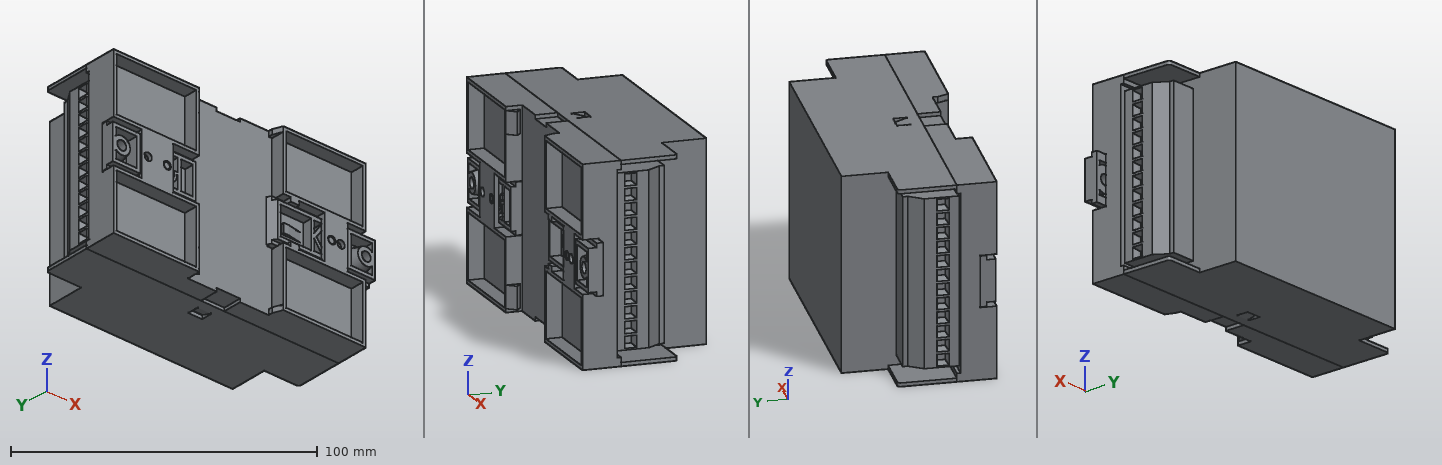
import cadquery as cq

HOUSING_HALF_WIDTH = 55.0
HOUSING_HALF_HEIGHT = 35.0
FRONT_Y = 48.6
PARTING_Y = 13.4
RAIL_SEAT_Y = 5.6
CAP_HALF_WIDTH = 39.9

SKIRT_TOP_Y = 33.0
SKIRT_THICKNESS = 1.4
SKIRT_CORNER_RADIUS = 1.0
WINDOW_HALF_WIDTH = 3.0
WINDOW_LOW_Y = 17.4
WINDOW_HIGH_Y = 22.0
WINDOW_DEPTH = 1.7
LATCH_GAP = 0.3
LATCH_DROP = 1.3

LEFT_FOOT_INNER_X = -17.6
RIGHT_FOOT_INNER_X = 19.0
FOOT_RIM = 1.4
CHANNEL_HALF_HEIGHT = 9.3
LEFT_BRIDGE = (-42.6, -28.9)
RIGHT_BRIDGE = (36.9, 47.0)
BRIDGE_THICKNESS = 1.7
SIDE_NOTCH_WIDTH = 10.2
SIDE_NOTCH_DEPTH = 1.4

HOOK_TIP_X = -15.1
HOOK_TIP_Y = 3.0
HOOK_ROOT_X = -17.0
HOOK_ROOT_Y = 4.8
HOOK_HIGH_Z = HOUSING_HALF_HEIGHT - FOOT_RIM
HOOK_LOW_Z = 25.6

GUIDE_X = 17.5
GUIDE_SLOPE_Y = 3.9
GUIDE_LENGTH = 2.2

LIP_X = (22.3, 26.0)

TOOTH_X = (23.2, 25.4, 31.2)
TOOTH_HEIGHT = 1.0
TOOTH_HALF_HEIGHT = 2.0

TERMINAL_SEAT_Y = 12.1
TERMINAL_SEAT_HALF_HEIGHT = 31.9
TERMINAL_HALF_HEIGHT = 30.2
TERMINAL_FRONT_Y = 30.3
TERMINAL_SLOPE_Y = (23.8, 28.6)
TERMINAL_OUTER_X = 52.9
TERMINAL_STEP_X = 49.7
WIRE_COUNT = 12
WIRE_ROW_LENGTH = 55.1
WIRE_PITCH = WIRE_ROW_LENGTH / (WIRE_COUNT - 1)
WIRE_Y = 17.5
WIRE_MOUTH = 4.1
WIRE_BORE = 2.9
WIRE_FUNNEL_DEPTH = 2.3
WIRE_BORE_DEPTH = 3.4

CLIP_HALF_HEIGHT = 9.0
CLIP_FLANGE_Y = 3.3
CLIP_PAD_HALF_HEIGHT = 7.5
CLIP_PAD_Y = BRIDGE_THICKNESS
CLIP_WINDOW_HALF_HEIGHT = 6.1
GRIP_Y = 0.3
GRIP_LENGTH = 11.9
GRIP_WALL = 1.4
GRIP_POCKET_LENGTH = 9.0
EYE_INSET = 3.9
EYE_HOLE_RADIUS = 2.0
EYE_RIM_RADIUS = 3.7
EYE_ROOT_RADIUS = 5.0
DETENT_HOLE_RADIUS = 1.6
DETENT_PIN_RADIUS = 1.3
DETENT_PIN_Y = 0.2

LEFT_CLIP_INNER_X = -17.6
LEFT_LOCK_X = -31.5
LEFT_SPARE_X = -39.9
LEFT_WINDOW = (-24.0, -18.9)
LEFT_SPRING_WINDOW = (-30.0, -25.6)
LEFT_STOP_X = -27.7
LEFT_STOP_HALF_HEIGHT = 2.0
LEFT_STOP_LOW_Y = 3.0
LEFT_SPRING_ROOT_Z = 0.6
LEFT_SPRING_WIDTH = 1.1
LEFT_SPRING_BEND = (-29.1, -1.3)
LEFT_SPRING_BEND_RADIUS = 2.1

RIGHT_CLIP_OUTER_X = 59.3
RIGHT_LOCK_X = 40.1
RIGHT_SPARE_X = 44.1
RIGHT_WINDOW = (19.3, 32.7)
RIGHT_SPRING_WINDOW = (34.0, 38.2)
RIGHT_SPRING_HALF_HEIGHT = 5.8
LEG_ROOT_HALF_HEIGHT = 1.0
LEG_FORK_X = 35.0
LEG_OUTER_END_X = 37.3
LEG_INNER_END_Z = 4.5
NOSE_TIP_X = 15.9
NOSE_TIP_Y = 4.9
NOSE_TOP_X = 18.1
NOSE_ROOT_X = 17.0


def box(x_range, y_range, z_range):
    """Axis-aligned block between the given limits."""
    x0, x1 = x_range
    y0, y1 = y_range
    z0, z1 = z_range
    return cq.Workplane("XY").box(x1 - x0, y1 - y0, z1 - z0, centered=False).translate((x0, y0, z0))


def plate(x_range, y_range, half_height):
    """Block that is symmetric about Z = 0."""
    return box(x_range, y_range, (-half_height, half_height))


def prism(points, z_range):
    """XY outline extruded between two heights."""
    z0, z1 = z_range
    return cq.Workplane("XY").polyline(points).close().extrude(z1 - z0).translate((0, 0, z0))


def wall_prism(points, y_range):
    """XZ outline extruded from y_range[0] to y_range[1]."""
    y0, y1 = y_range
    return cq.Workplane("XZ").polyline(points).close().extrude(y0 - y1).translate((0, y0, 0))


def pin(x, radius, y_range):
    """Round pin along Y on the clip centre line."""
    y0, y1 = y_range
    return cq.Workplane("XZ").center(x, 0).circle(radius).extrude(y0 - y1).translate((0, y0, 0))


def mirrored_pair(body):
    """The body together with its mirror image below Z = 0."""
    return body.union(body.mirror("XY"))


def make_cover():
    cap = plate((-CAP_HALF_WIDTH, CAP_HALF_WIDTH), (PARTING_Y, FRONT_Y), HOUSING_HALF_HEIGHT)
    skirt = box(
        (-HOUSING_HALF_WIDTH, HOUSING_HALF_WIDTH),
        (PARTING_Y, SKIRT_TOP_Y),
        (HOUSING_HALF_HEIGHT - SKIRT_THICKNESS, HOUSING_HALF_HEIGHT),
    ).edges("|Z and >Y").fillet(SKIRT_CORNER_RADIUS)
    cover = cap.union(mirrored_pair(skirt))
    return cover.cut(mirrored_pair(latch_window()))


def latch_window():
    """Rectangular pocket round a latch whose face slopes up to the wall at its low-Y end."""
    floor_z = HOUSING_HALF_HEIGHT - WINDOW_DEPTH
    pocket = box(
        (-WINDOW_HALF_WIDTH, WINDOW_HALF_WIDTH),
        (WINDOW_LOW_Y, WINDOW_HIGH_Y),
        (floor_z, HOUSING_HALF_HEIGHT),
    )
    latch_end_y = WINDOW_HIGH_Y - LATCH_GAP
    profile = [
        (WINDOW_LOW_Y, HOUSING_HALF_HEIGHT),
        (latch_end_y, HOUSING_HALF_HEIGHT - LATCH_DROP),
        (latch_end_y, floor_z),
        (WINDOW_LOW_Y, floor_z),
    ]
    latch = cq.Workplane("YZ").polyline(profile).close().extrude(WINDOW_HALF_WIDTH - LATCH_GAP, both=True)
    return pocket.cut(latch)


def make_base():
    body = plate(
        (-HOUSING_HALF_WIDTH, HOUSING_HALF_WIDTH), (RAIL_SEAT_Y, PARTING_Y), HOUSING_HALF_HEIGHT
    )
    left_foot = foot(-HOUSING_HALF_WIDTH, LEFT_FOOT_INNER_X)
    right_foot = foot(RIGHT_FOOT_INNER_X, HOUSING_HALF_WIDTH)
    base = body.union(mirrored_pair(left_foot)).union(mirrored_pair(right_foot))
    for bridge, holes in (
        (LEFT_BRIDGE, (LEFT_LOCK_X, LEFT_SPARE_X)),
        (RIGHT_BRIDGE, (RIGHT_LOCK_X, RIGHT_SPARE_X)),
    ):
        base = base.union(clip_bridge(bridge, holes))
    for detail in (rail_hook(), corner_guide(), clip_lip()):
        base = base.union(mirrored_pair(detail))
    base = base.union(stop_tooth())
    base = base.cut(mirrored_pair(side_notch()))
    for seat in terminal_seats():
        base = base.cut(seat)
    return base


def foot(x0, x1):
    """Upper foot: an open box standing on the rail seat."""
    outer = box((x0, x1), (0, RAIL_SEAT_Y), (CHANNEL_HALF_HEIGHT, HOUSING_HALF_HEIGHT))
    hollow = box(
        (x0 + FOOT_RIM, x1 - FOOT_RIM),
        (0, RAIL_SEAT_Y),
        (CHANNEL_HALF_HEIGHT + FOOT_RIM, HOUSING_HALF_HEIGHT - FOOT_RIM),
    )
    return outer.cut(hollow)


def clip_bridge(x_range, hole_positions):
    """Strap over the raised middle of the clip, reaching down to its flanges, with detent holes."""
    strap = plate(x_range, (0, CLIP_FLANGE_Y), CHANNEL_HALF_HEIGHT)
    strap = strap.cut(plate(x_range, (BRIDGE_THICKNESS, CLIP_FLANGE_Y), CLIP_PAD_HALF_HEIGHT))
    for x in hole_positions:
        strap = strap.cut(pin(x, DETENT_HOLE_RADIUS, (0, BRIDGE_THICKNESS)))
    return strap


def rail_hook():
    outline = [
        (LEFT_FOOT_INNER_X, 0),
        (HOOK_TIP_X, HOOK_TIP_Y),
        (HOOK_ROOT_X, HOOK_ROOT_Y),
        (LEFT_FOOT_INNER_X, HOOK_ROOT_Y),
    ]
    return prism(outline, (HOOK_LOW_Z, HOOK_HIGH_Z))


def corner_guide():
    outline = [
        (RIGHT_FOOT_INNER_X, 0),
        (GUIDE_X, GUIDE_SLOPE_Y),
        (GUIDE_X, RAIL_SEAT_Y),
        (RIGHT_FOOT_INNER_X, RAIL_SEAT_Y),
    ]
    return prism(outline, (HOUSING_HALF_HEIGHT - GUIDE_LENGTH, HOUSING_HALF_HEIGHT))


def clip_lip():
    return box(LIP_X, (0, CLIP_FLANGE_Y), (CLIP_PAD_HALF_HEIGHT, CHANNEL_HALF_HEIGHT))


def stop_tooth():
    steep_x, flat_x, ramp_x = TOOTH_X
    crest_y = RAIL_SEAT_Y - TOOTH_HEIGHT
    outline = [(steep_x, RAIL_SEAT_Y), (steep_x, crest_y), (flat_x, crest_y), (ramp_x, RAIL_SEAT_Y)]
    return prism(outline, (-TOOTH_HALF_HEIGHT, TOOTH_HALF_HEIGHT))


def side_notch():
    return box(
        (-SIDE_NOTCH_WIDTH / 2, SIDE_NOTCH_WIDTH / 2),
        (RAIL_SEAT_Y, PARTING_Y),
        (HOUSING_HALF_HEIGHT - SIDE_NOTCH_DEPTH, HOUSING_HALF_HEIGHT),
    )


def terminal_seats():
    """Shallow recess at each end of the base that receives a terminal block."""
    left = plate(
        (-HOUSING_HALF_WIDTH, -CAP_HALF_WIDTH), (TERMINAL_SEAT_Y, PARTING_Y), TERMINAL_SEAT_HALF_HEIGHT
    )
    return [left, left.mirror("YZ")]


def make_terminal_block():
    """Left-hand terminal block."""
    slope_low_y, slope_high_y = TERMINAL_SLOPE_Y
    outline = [
        (-CAP_HALF_WIDTH, TERMINAL_SEAT_Y),
        (-TERMINAL_OUTER_X, TERMINAL_SEAT_Y),
        (-TERMINAL_OUTER_X, slope_low_y),
        (-TERMINAL_STEP_X, slope_high_y),
        (-TERMINAL_STEP_X, TERMINAL_FRONT_Y),
        (-CAP_HALF_WIDTH, TERMINAL_FRONT_Y),
    ]
    block = prism(outline, (-TERMINAL_HALF_HEIGHT, TERMINAL_HALF_HEIGHT))
    funnel = (
        cq.Workplane("YZ", origin=(-TERMINAL_OUTER_X, WIRE_Y, 0))
        .rect(WIRE_MOUTH, WIRE_MOUTH)
        .workplane(offset=WIRE_FUNNEL_DEPTH)
        .rect(WIRE_BORE, WIRE_BORE)
        .loft()
    )
    bore = (
        cq.Workplane("YZ", origin=(-TERMINAL_OUTER_X, WIRE_Y, 0))
        .rect(WIRE_BORE, WIRE_BORE)
        .extrude(WIRE_BORE_DEPTH)
    )
    wire_entry = funnel.union(bore)
    for index in range(WIRE_COUNT):
        z = index * WIRE_PITCH - WIRE_ROW_LENGTH / 2
        block = block.cut(wire_entry.translate((0, 0, z)))
    return block


def clip_strip(x_range):
    """Sliding strip: low side flanges with a raised middle."""
    flanges = plate(x_range, (CLIP_FLANGE_Y, RAIL_SEAT_Y), CLIP_HALF_HEIGHT)
    return flanges.union(plate(x_range, (CLIP_PAD_Y, RAIL_SEAT_Y), CLIP_PAD_HALF_HEIGHT))


def clip_window(x_range, half_height=CLIP_WINDOW_HALF_HEIGHT):
    return plate(x_range, (0, RAIL_SEAT_Y), half_height)


def add_grip(clip, outer_x, direction):
    """Raised outer end with a through pocket and a conical screw eye; direction points inward."""

    def span(start, length):
        ends = (outer_x + direction * start, outer_x + direction * (start + length))
        return (min(ends), max(ends))

    block = plate(span(0, GRIP_LENGTH), (GRIP_Y, RAIL_SEAT_Y), CLIP_PAD_HALF_HEIGHT)
    eye_x = outer_x + direction * EYE_INSET
    eye = (
        cq.Workplane("XZ", origin=(eye_x, GRIP_Y, 0))
        .circle(EYE_RIM_RADIUS)
        .workplane(offset=GRIP_Y - RAIL_SEAT_Y)
        .circle(EYE_ROOT_RADIUS)
        .loft()
        .intersect(block)
    )
    pocket = clip_window(span(GRIP_WALL, GRIP_POCKET_LENGTH))
    eye_hole = pin(eye_x, EYE_HOLE_RADIUS, (0, RAIL_SEAT_Y))
    return clip.union(block).cut(pocket).union(eye).cut(eye_hole)


def detent_pin(x):
    return pin(x, DETENT_PIN_RADIUS, (DETENT_PIN_Y, CLIP_FLANGE_Y))


def make_left_clip():
    clip = clip_strip((-HOUSING_HALF_WIDTH, LEFT_CLIP_INNER_X))
    clip = clip.cut(clip_window(LEFT_WINDOW)).cut(clip_window(LEFT_SPRING_WINDOW))
    clip = add_grip(clip, -HOUSING_HALF_WIDTH, 1)
    return clip.union(left_spring()).union(left_stop()).union(detent_pin(LEFT_LOCK_X))


def left_spring():
    """Cranked spring arm: a root at the window end, a straight part and a quarter bend."""
    window_start_x, root_x = LEFT_SPRING_WINDOW
    bend_x, bend_z = LEFT_SPRING_BEND
    inner_x = bend_x + LEFT_SPRING_BEND_RADIUS
    outer_radius = LEFT_SPRING_BEND_RADIUS + LEFT_SPRING_WIDTH
    outer_x = bend_x + outer_radius
    thickness = (CLIP_PAD_Y, RAIL_SEAT_Y)
    root = box((inner_x, root_x), thickness, (LEFT_SPRING_ROOT_Z - LEFT_SPRING_WIDTH, LEFT_SPRING_ROOT_Z))
    straight = box((inner_x, outer_x), thickness, (bend_z, LEFT_SPRING_ROOT_Z))
    ring = pin(bend_x, outer_radius, thickness).cut(pin(bend_x, LEFT_SPRING_BEND_RADIUS, thickness))
    quarter = box((bend_x, outer_x), thickness, (bend_z - outer_radius, bend_z))
    bend = ring.translate((0, 0, bend_z)).intersect(quarter)
    tail_top_z = bend_z - LEFT_SPRING_BEND_RADIUS
    tail = box((window_start_x, bend_x), thickness, (tail_top_z - LEFT_SPRING_WIDTH, tail_top_z))
    return root.union(straight).union(bend).union(tail)


def left_stop():
    """Block with a ramp that falls away under the bridge, beside the left spring arm."""
    start_x = LEFT_SPRING_WINDOW[0]
    outline = [
        (start_x, LEFT_STOP_LOW_Y),
        (LEFT_STOP_X, CLIP_PAD_Y),
        (LEFT_STOP_X, RAIL_SEAT_Y),
        (start_x, RAIL_SEAT_Y),
    ]
    return prism(outline, (-LEFT_STOP_HALF_HEIGHT, LEFT_STOP_HALF_HEIGHT))


def make_right_clip():
    clip = clip_strip((NOSE_TIP_X, RIGHT_CLIP_OUTER_X))
    clip = clip.cut(clip_nose_slope()).cut(clip_nose_undercut())
    clip = clip.cut(clip_window(RIGHT_WINDOW))
    clip = clip.cut(clip_window(RIGHT_SPRING_WINDOW, RIGHT_SPRING_HALF_HEIGHT))
    clip = add_grip(clip, RIGHT_CLIP_OUTER_X, -1)
    return clip.union(mirrored_pair(spring_leg())).union(detent_pin(RIGHT_LOCK_X))


def clip_nose_undercut():
    """Gap under the nose for the rail edge."""
    return plate((NOSE_TIP_X, NOSE_ROOT_X), (NOSE_TIP_Y, RAIL_SEAT_Y), CLIP_HALF_HEIGHT)


def clip_nose_slope():
    """Wedge that bevels the nose which snaps over the rail edge."""
    outline = [(NOSE_TIP_X, NOSE_TIP_Y), (NOSE_TIP_X, CLIP_PAD_Y), (NOSE_TOP_X, CLIP_PAD_Y)]
    return prism(outline, (-CLIP_HALF_HEIGHT, CLIP_HALF_HEIGHT))


def spring_leg():
    """Upper leg of the V-shaped spring in the right spring window."""
    start_x, end_x = RIGHT_SPRING_WINDOW
    outline = [
        (start_x, 0),
        (start_x, LEG_ROOT_HALF_HEIGHT),
        (LEG_OUTER_END_X, RIGHT_SPRING_HALF_HEIGHT),
        (end_x, RIGHT_SPRING_HALF_HEIGHT),
        (end_x, LEG_INNER_END_Z),
        (LEG_FORK_X, 0),
    ]
    return wall_prism(outline, (CLIP_PAD_Y, RAIL_SEAT_Y))


base = make_base()
cover = make_cover()
left_clip = make_left_clip()
right_clip = make_right_clip()
left_terminals = make_terminal_block()
right_terminals = left_terminals.mirror("YZ")

result = cq.Compound.makeCompound(
    [
        base.solids().val(),
        cover.solids().val(),
        left_terminals.solids().val(),
        right_terminals.solids().val(),
        left_clip.solids().val(),
        right_clip.solids().val(),
    ]
)